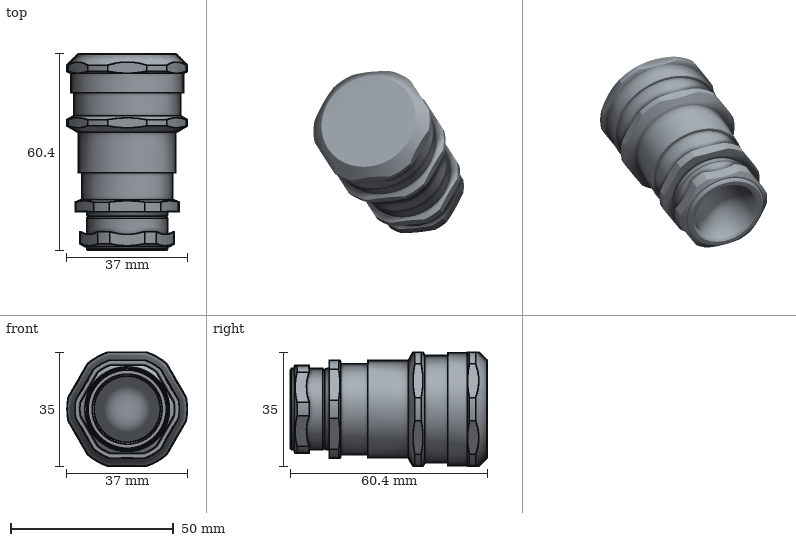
import cadquery as cq
import math


LENGTH = 60.4
LOCKNUT_FRONT = 1.2
LOCKNUT_BACK = 5.8
THREAD_END = 9.9
FLANGE_FRONT = 11.9
FLANGE_BACK = 15.55
NECK_END = 23.8
BODY_END = 36.25
BODY_HEX_BACK = 41.35
SHOULDER_END = 48.4
CAP_HEX_FRONT = 54.4

THREAD_RADIUS = 12.5
NECK_RADIUS = 14.0
BODY_RADIUS = 15.0
SHOULDER_RADIUS = 16.5
CAP_RADIUS = 17.35
CAP_END_RADIUS = 15.0

LOCKNUT_FLAT = 13.5
LOCKNUT_CORNER = 14.5
FLANGE_FLAT = 15.05
FLANGE_CORNER = 16.0
FLANGE_FACE_RADIUS = 14.3
LARGE_FLAT = 17.495
LARGE_CORNER = 18.5

HEX_SLOPE = math.tan(math.radians(30))
FLANGE_SLOPE = 0.4
CAP_SLOPE = math.tan(math.radians(45))
RECESS_SLOPE = 0.82
LOCKNUT_FACE_RADIUS = 13.0
THREAD_CHAMFER = 0.5

SEAL_SECTION_RADIUS = 0.95
SEAL_OUTER_RADIUS = 12.5
SEAT_RADIUS = 13.0
SEAT_DEPTH = 0.5
SEAL_CORE_RADIUS = SEAL_OUTER_RADIUS - SEAL_SECTION_RADIUS

BORE_RADIUS = 10.15
BORE_CHAMFER = 0.6
BORE_DEPTH = NECK_END


def turned(points):
    """Revolve a closed (radius, y) outline around the Y axis."""
    return cq.Workplane("XY").polyline(points).close().revolve(360, (0, 0, 0), (0, 1, 0))


def cylinder(radius, start, end):
    """Cylinder on the Y axis from one station to another."""
    return turned([(0, start), (radius, start), (radius, end), (0, end)])


def hexagon(half_flats, points):
    """Turned outline trimmed to a hexagonal prism with flats facing +Z and -Z."""
    blank_diameter = 2 * half_flats / math.cos(math.pi / 6)
    prism = cq.Workplane("XZ").polygon(6, blank_diameter).extrude(-LENGTH)
    return turned(points).intersect(prism)


def threaded_end():
    """Front spigot with a chamfered tip, necked down at 45 degrees in front of the seal ring."""
    tip_radius = THREAD_RADIUS - THREAD_CHAMFER
    core_start = THREAD_END + THREAD_RADIUS - SEAL_CORE_RADIUS
    return turned([
        (0, 0),
        (tip_radius, 0),
        (THREAD_RADIUS, THREAD_CHAMFER),
        (THREAD_RADIUS, THREAD_END),
        (SEAL_CORE_RADIUS, core_start),
        (SEAL_CORE_RADIUS, FLANGE_FRONT + SEAT_DEPTH),
        (0, FLANGE_FRONT + SEAT_DEPTH),
    ])


def seal_ring():
    """Round sealing ring resting on the bottom of the flange recess."""
    centre_y = FLANGE_FRONT + SEAT_DEPTH - SEAL_SECTION_RADIUS
    ring = cq.Workplane("XY").center(SEAL_CORE_RADIUS, centre_y).circle(SEAL_SECTION_RADIUS)
    return ring.revolve(360, (-SEAL_CORE_RADIUS, 0, 0), (-SEAL_CORE_RADIUS, 1, 0))


def locknut():
    """Hexagon with a chamfered front and a conical recess in its back."""
    chamfer = (LOCKNUT_CORNER - LOCKNUT_FACE_RADIUS) * HEX_SLOPE
    recess = (LOCKNUT_CORNER - THREAD_RADIUS) * RECESS_SLOPE
    return hexagon(LOCKNUT_FLAT, [
        (0, LOCKNUT_FRONT),
        (LOCKNUT_FACE_RADIUS, LOCKNUT_FRONT),
        (LOCKNUT_CORNER, LOCKNUT_FRONT + chamfer),
        (LOCKNUT_CORNER, LOCKNUT_BACK),
        (THREAD_RADIUS, LOCKNUT_BACK - recess),
        (0, LOCKNUT_BACK - recess),
    ])


def flange():
    """Hexagon with a recessed front and a shallow conical chamfer at the back."""
    chamfer = (FLANGE_CORNER - FLANGE_FACE_RADIUS) * FLANGE_SLOPE
    return hexagon(FLANGE_FLAT, [
        (0, FLANGE_FRONT + SEAT_DEPTH),
        (SEAT_RADIUS, FLANGE_FRONT + SEAT_DEPTH),
        (SEAT_RADIUS, FLANGE_FRONT),
        (FLANGE_CORNER, FLANGE_FRONT),
        (FLANGE_CORNER, FLANGE_BACK - chamfer),
        (FLANGE_FACE_RADIUS, FLANGE_BACK),
        (0, FLANGE_BACK),
    ])


def double_cone_hexagon(front, front_radius, front_slope, back, back_radius, back_slope):
    """Large hexagon whose chamfers run down to the given radii at both ends."""
    return hexagon(LARGE_FLAT, [
        (0, front),
        (front_radius, front),
        (LARGE_CORNER, front + (LARGE_CORNER - front_radius) * front_slope),
        (LARGE_CORNER, back - (LARGE_CORNER - back_radius) * back_slope),
        (back_radius, back),
        (0, back),
    ])


def bore():
    """Blind hole from the front, with a chamfered mouth."""
    return turned([
        (0, 0),
        (BORE_RADIUS + BORE_CHAMFER, 0),
        (BORE_RADIUS, BORE_CHAMFER),
        (BORE_RADIUS, BORE_DEPTH),
        (0, BORE_DEPTH),
    ])


sections = [
    locknut(),
    seal_ring(),
    flange(),
    cylinder(NECK_RADIUS, FLANGE_BACK, NECK_END),
    cylinder(BODY_RADIUS, NECK_END, BODY_END),
    double_cone_hexagon(BODY_END, BODY_RADIUS, HEX_SLOPE, BODY_HEX_BACK, SHOULDER_RADIUS, HEX_SLOPE),
    cylinder(SHOULDER_RADIUS, BODY_HEX_BACK, SHOULDER_END),
    cylinder(CAP_RADIUS, SHOULDER_END, CAP_HEX_FRONT),
    double_cone_hexagon(CAP_HEX_FRONT, CAP_RADIUS, HEX_SLOPE, LENGTH, CAP_END_RADIUS, CAP_SLOPE),
]

result = threaded_end()
for section in sections:
    result = result.union(section)
result = result.cut(bore())